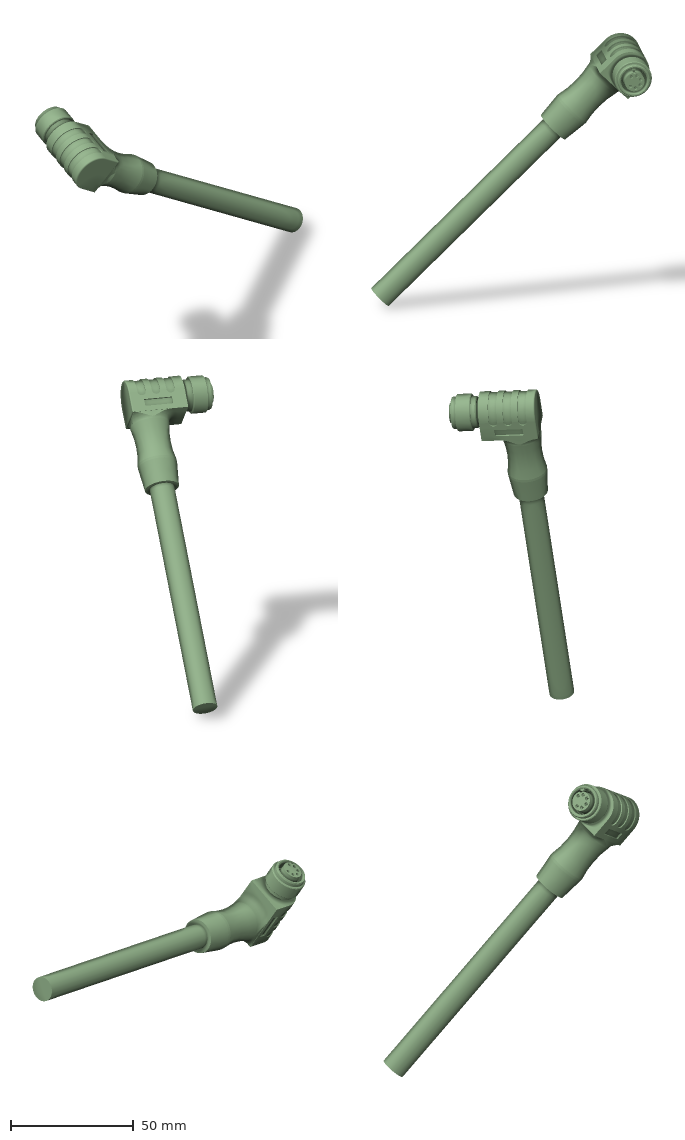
import cadquery as cq
import math

cable_tilt = 46.0

insert_radius = 4.05
collar_start = 1.0
collar_radius = 6.7
collar_tail_radius = 6.6
collar_lip_length = 0.6
collar_lip_height = 0.3
mouth_radius = 5.9
bore_radius = 5.4
bore_depth = 4.0
inner_bore_radius = 5.0
inner_bore_depth = 7.0
insert_root_radius = 4.55
nut_start = 3.0
nut_end = 9.3
nut_radius = 7.65
nut_chamfer = 0.3
collar_end = 11.6
collar_chamfer = 0.4
neck_radius = 5.0

contact_positions = 7
contact_circle_radius = 2.7
contact_mouth_radius = 0.75
contact_mouth_depth = 1.0
contact_bore_radius = 0.4
contact_depth = 5.0
empty_contact_angle = 173.0
key_width = 0.9
key_depth = 0.55
key_length = 3.0
rib_width = 1.6
key_angle = 92.0

head_start = 12.8
head_end = 36.2
head_radius = 8.35
head_drop = 8.8
head_edge_radius = 0.5

groove_count = 3
groove_first = 18.65
groove_pitch = 6.1
groove_width = 3.45
groove_depth = 0.5

label_start = 18.75
label_length = 11.7
label_top = 3.6
label_height = 3.0
label_depth = 0.8

root_fillet = 3.3
root_half_width = 8.2
relief_top_radius = 8.1
relief_top = head_drop + root_fillet
waist_radius = 7.15
waist = 21.0
bulge_radius = 8.1
bulge_top = 29.0
bulge_bottom = 30.1
relief_end_radius = 7.05
relief_end = 40.2
cable_radius = 5.1
cable_end = 139.9
cable_x = head_end - bulge_radius


def x_cylinder(radius, start, end):
    return cq.Workplane("YZ").workplane(offset=start).circle(radius).extrude(end - start)


def plug_point(radius, angle):
    """Workplane point at a radius and an angle from -Y towards +Z, in the final position.

    The cable tilt is taken off, because the whole part is turned later.
    """
    a = math.radians(angle + cable_tilt)
    return (-radius * math.cos(a), radius * math.sin(a))


def x_revolved(points):
    """Body of revolution about the plug axis from (station, radius) points."""
    return cq.Workplane("XY").polyline(points).close().revolve(360, (0, 0, 0), (1, 0, 0))


def make_collar():
    collar = x_revolved([
        (collar_start, 0),
        (collar_start, collar_radius - collar_lip_height),
        (collar_start + collar_lip_length, collar_radius),
        (nut_end, collar_radius),
        (nut_end, collar_tail_radius),
        (collar_end - collar_chamfer, collar_tail_radius),
        (collar_end, collar_tail_radius - collar_chamfer),
        (collar_end, 0),
    ])
    nut = x_cylinder(nut_radius, nut_start, nut_end).edges().chamfer(nut_chamfer)
    return collar.union(nut).cut(make_bore())


def make_bore():
    """Stepped bore with a flared mouth, less the coding rib along its wall."""
    bore = x_revolved([
        (collar_start, 0),
        (collar_start, mouth_radius),
        (collar_start + mouth_radius - bore_radius, bore_radius),
        (collar_start + bore_depth, bore_radius),
        (collar_start + bore_depth, inner_bore_radius),
        (collar_start + inner_bore_depth, inner_bore_radius),
        (collar_start + inner_bore_depth, 0),
    ])
    rib_height = mouth_radius - insert_root_radius
    rib_middle = insert_root_radius + rib_height / 2
    rib_start = collar_start + mouth_radius - bore_radius
    return bore.cut(key_block(rib_start, inner_bore_depth, rib_height, rib_width, rib_middle))


def make_insert():
    """Contact carrier, widening in a cone towards the bottom of the bore."""
    insert = x_revolved([
        (0, 0),
        (0, insert_radius),
        (collar_start, insert_radius),
        (collar_start + inner_bore_depth, insert_root_radius),
        (collar_end, insert_root_radius),
        (collar_end, 0),
    ])
    insert = insert.cut(contact_holes(contact_mouth_radius, contact_mouth_depth))
    insert = insert.cut(contact_holes(contact_bore_radius, contact_depth))
    return insert.cut(key_block(0, key_length, 2 * key_depth, key_width, insert_radius))


def make_plug():
    neck = x_cylinder(neck_radius, collar_end, head_start)
    return make_collar().union(make_insert()).union(neck)


def contact_holes(radius, depth):
    step = 360 / contact_positions
    points = [
        plug_point(contact_circle_radius, empty_contact_angle + step * i)
        for i in range(1, contact_positions)
    ]
    return cq.Workplane("YZ").pushPoints(points).circle(radius).extrude(depth)


def key_block(start, length, height, width, middle_radius):
    """Block along X at the coding angle, centred at the given radius."""
    y, z = plug_point(middle_radius, key_angle)
    turn = math.degrees(math.atan2(z, y))
    block = cq.Workplane("XY").box(length, height, width, centered=(False, True, True))
    return block.rotate((0, 0, 0), (1, 0, 0), turn).translate((start, y, z))


def arch_prism(radius, drop, start, end):
    """Round-topped prism along X with flat sides down to the given drop."""
    return (
        cq.Workplane("YZ").workplane(offset=start)
        .moveTo(-radius, -drop)
        .lineTo(-radius, 0)
        .threePointArc((0, radius), (radius, 0))
        .lineTo(radius, -drop)
        .close()
        .extrude(end - start)
    )


def make_head():
    head = arch_prism(head_radius, head_drop, head_start, head_end)
    head = head.faces(">X").edges().fillet(head_edge_radius)
    for i in range(groove_count):
        head = head.cut(grip_groove(groove_first + groove_pitch * i))
    for side in (-1, 1):
        head = head.cut(label_recess(side))
    return head


def grip_groove(x):
    """Groove over the round top, ending in a half circle on both flat sides."""
    half = groove_width / 2
    width = 3 * head_radius
    outline = (
        cq.Workplane("XZ").workplane(offset=-width / 2)
        .moveTo(x - half, width)
        .lineTo(x - half, 0)
        .threePointArc((x, -half), (x + half, 0))
        .lineTo(x + half, width)
        .close()
        .extrude(width)
    )
    core = arch_prism(head_radius - groove_depth, head_drop, head_start, head_end)
    return outline.cut(core)


def label_recess(side):
    return cq.Workplane("XY").box(label_length, 2 * label_depth, label_height).translate(
        (label_start + label_length / 2, side * head_radius, -label_top - label_height / 2)
    )


def make_root():
    """Concave round flare between head and strain relief, kept just inside the head's width."""
    flare_radius = relief_top_radius + root_fillet
    bend = root_fillet * math.sqrt(0.5)
    flare = (
        cq.Workplane("XZ")
        .moveTo(0, -head_drop)
        .lineTo(flare_radius, -head_drop)
        .threePointArc((flare_radius - bend, -relief_top + bend), (relief_top_radius, -relief_top))
        .lineTo(0, -relief_top)
        .close()
        .revolve(360, (0, 0, 0), (0, 1, 0))
        .translate((cable_x, 0, 0))
    )
    limits = arch_prism(root_half_width, relief_top, head_start, head_end - head_edge_radius)
    return flare.intersect(limits)


def make_cable():
    relief = (
        cq.Workplane("XZ")
        .moveTo(0, -head_drop)
        .lineTo(waist_radius, -head_drop)
        .lineTo(relief_top_radius, -relief_top)
        .threePointArc((waist_radius, -waist), (bulge_radius, -bulge_top))
        .lineTo(bulge_radius, -bulge_bottom)
        .lineTo(relief_end_radius, -relief_end)
        .lineTo(0, -relief_end)
        .close()
        .revolve(360, (0, 0, 0), (0, 1, 0))
    )
    cable = cq.Workplane("XY").circle(cable_radius).extrude(-cable_end)
    return relief.union(cable).translate((cable_x, 0, 0))


body = make_head().union(make_root()).union(make_cable()).union(make_plug())
result = body.rotate((0, 0, 0), (1, 0, 0), cable_tilt)